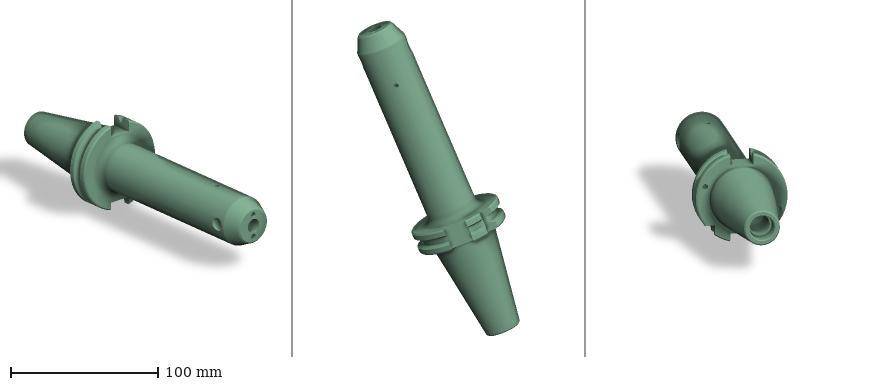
import cadquery as cq
import math


gauge_radius = 44.45 / 2
taper_length = 68.4
taper_slope = 7 / 48
taper_chamfer = 0.8

flange_start = 3.2
flange_end = 19.1
flange_radius = 63.55 / 2
rim_chamfer = 0.9
groove_center = 11.1
groove_floor_radius = 56.25 / 2
groove_floor_width = 3.8
groove_rim_width = 7.0

nose_radius = 35 / 2
nose_end = 160.0
nose_fillet = 5.0
nose_cone_start = 149.0
nose_tip_radius = 12.8
nose_tip_chamfer = 1.0
nose_edge_chamfer = 0.5

pilot_radius = 17 / 2
pilot_depth = 9.0
pilot_chamfer = 0.6
thread_core_radius = 14 / 2
thread_depth = 32.0
drill_tip_half_angle = 59
through_radius = 7.5 / 2
tool_bore_radius = 10 / 2
tool_bore_depth = 45.0

screw_hole_radius = 11 / 2
screw_hole_setback = 20.0
balance_ball_radius = 5.0
balance_ball_height = 1.4
balance_recess_setback = 17.9

duct_radius = 4 / 2
duct_offset = 8.0
cross_hole_radius = 3.2 / 2
cross_hole_setback = 38.5

key_slot_width = 16.1
upper_slot_floor = 22.8
lower_slot_floor = 25.0
notch_y = 18.5
notch_z = 18.5

flat_distance = 24.2
flat_length = 28.7
flat_width = 3.4
flat_tilt = 15
flange_hole_radius = 4 / 2
flange_hole_depth = 4.0
flange_hole_pitch_radius = 27.0
flange_hole_angle = 20
groove_hole_radius = 2.8 / 2
groove_hole_depth = 3.0


def revolve_about_x(points):
    return cq.Workplane("XY").polyline(points).close().revolve(360, (0, 0, 0), (1, 0, 0))


def make_taper_and_flange():
    small_end = -taper_length
    small_radius = gauge_radius - taper_slope * taper_length
    floor_half = groove_floor_width / 2
    groove_half = groove_rim_width / 2
    return revolve_about_x([
        (small_end, 0),
        (small_end, small_radius - taper_chamfer),
        (small_end + taper_chamfer, small_radius + taper_slope * taper_chamfer),
        (0, gauge_radius),
        (flange_start, gauge_radius),
        (flange_start, flange_radius - rim_chamfer),
        (flange_start + rim_chamfer, flange_radius),
        (groove_center - groove_half, flange_radius),
        (groove_center - floor_half, groove_floor_radius),
        (groove_center + floor_half, groove_floor_radius),
        (groove_center + groove_half, flange_radius),
        (flange_end - rim_chamfer, flange_radius),
        (flange_end, flange_radius - rim_chamfer),
        (flange_end, 0),
    ])


def make_nose():
    cone_length = nose_end - nose_tip_chamfer - nose_cone_start
    cone_slope = (nose_radius - nose_tip_radius) / cone_length
    profile = (
        cq.Workplane("XZ")
        .moveTo(flange_end, 0)
        .lineTo(flange_end, nose_radius + nose_fillet)
        .radiusArc((flange_end + nose_fillet, nose_radius), -nose_fillet)
        .lineTo(nose_cone_start - nose_edge_chamfer, nose_radius)
        .lineTo(nose_cone_start, nose_radius - cone_slope * nose_edge_chamfer / 2)
        .lineTo(nose_end - nose_tip_chamfer, nose_tip_radius)
        .lineTo(nose_end, nose_tip_radius - nose_tip_chamfer)
        .lineTo(nose_end, 0)
        .close()
    )
    return profile.revolve(360, (0, 0, 0), (1, 0, 0))


def make_bore():
    start = -taper_length
    tip_length = (thread_core_radius - through_radius) / math.tan(math.radians(drill_tip_half_angle))
    return revolve_about_x([
        (start, 0),
        (start, pilot_radius + pilot_chamfer),
        (start + pilot_chamfer, pilot_radius),
        (start + pilot_depth, pilot_radius),
        (start + pilot_depth, thread_core_radius),
        (start + thread_depth, thread_core_radius),
        (start + thread_depth + tip_length, through_radius),
        (nose_end - tool_bore_depth, through_radius),
        (nose_end - tool_bore_depth, tool_bore_radius),
        (nose_end, tool_bore_radius),
        (nose_end, 0),
    ])


def make_cylinder(start, direction, radius, length):
    return cq.Workplane(cq.Solid.makeCylinder(radius, length, cq.Vector(*start), cq.Vector(*direction)))


def make_screw_hole():
    return make_cylinder((nose_end - screw_hole_setback, 0, 0), (0, 1, 0), screw_hole_radius, nose_radius)


def make_balance_recess():
    ball = cq.Workplane("XY").sphere(balance_ball_radius)
    return ball.translate((nose_end - balance_recess_setback, -nose_radius - balance_ball_height, 0))


def make_coolant_ducts():
    cross_x = nose_end - cross_hole_setback
    ducts = make_cylinder((cross_x, 0, -nose_radius), (0, 0, 1), cross_hole_radius, 2 * nose_radius)
    for side in (1, -1):
        ducts = ducts.union(
            make_cylinder((cross_x, 0, side * duct_offset), (1, 0, 0), duct_radius, cross_hole_setback)
        )
    return ducts


def make_flange_cutouts():
    width = flange_end - flange_start

    def flange_box(y_size, z_size):
        return cq.Workplane("XY").box(width, y_size, z_size).translate(((flange_start + flange_end) / 2, 0, 0))

    depth = flange_radius
    upper = flange_box(key_slot_width, depth).translate((0, 0, upper_slot_floor + depth / 2))
    lower = flange_box(key_slot_width, depth).translate((0, 0, -lower_slot_floor - depth / 2))
    notch = flange_box(depth, depth).translate((0, notch_y + depth / 2, -notch_z - depth / 2))
    return upper.union(lower).union(notch)


def make_groove_flat():
    cut_depth = groove_floor_radius - flat_distance
    return (
        cq.Workplane("XY")
        .box(flat_width, cut_depth, flat_length)
        .translate((groove_center, -flat_distance - cut_depth / 2, 0))
        .rotate((0, 0, 0), (1, 0, 0), -flat_tilt)
    )


def make_flange_drilling():
    tip_length = flange_hole_radius / math.tan(math.radians(drill_tip_half_angle))
    return revolve_about_x([
        (0, 0),
        (0, flange_hole_radius),
        (flange_hole_depth, flange_hole_radius),
        (flange_hole_depth + tip_length, 0),
    ])


def make_flange_holes():
    holes = cq.Workplane("XY")
    for angle in (flange_hole_angle, flange_hole_angle + 180):
        y = math.cos(math.radians(angle))
        z = math.sin(math.radians(angle))
        axial = make_flange_drilling().translate(
            (flange_start, flange_hole_pitch_radius * y, flange_hole_pitch_radius * z)
        )
        inner = groove_floor_radius - groove_hole_depth
        radial = make_cylinder(
            (groove_center, inner * y, inner * z), (0, y, z), groove_hole_radius, 2 * groove_hole_depth
        )
        holes = holes.add(axial).add(radial)
    return holes.combine()


result = (
    make_taper_and_flange()
    .union(make_nose())
    .cut(make_bore())
    .cut(make_screw_hole())
    .cut(make_balance_recess())
    .cut(make_coolant_ducts())
    .cut(make_flange_cutouts())
    .cut(make_groove_flat())
    .cut(make_flange_holes())
)